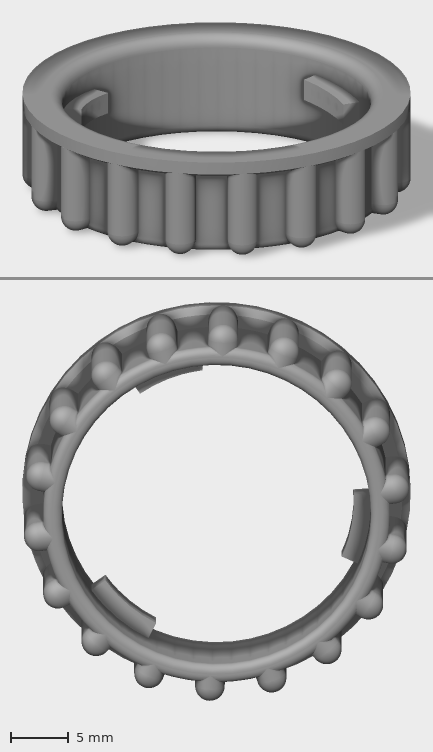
import cadquery as cq
import math

height = 9.0
bore_radius = 13.37
body_radius = 15.0
base_fillet = 0.7
mouth_fillet = 1.0

flange_radius = 16.8
flange_rim_height = 1.1
bevel_height = 0.4
bevel_width = 0.7

rib_count = 18
rib_radius = 1.28
rib_center_radius = flange_radius - rib_radius

tab_count = 3
first_tab_angle = 88.0
tab_span_angle = 28.0
tab_inner_radius = 11.85
tab_height = 1.88
tab_depth = 2.35
tab_rise = 0.5

wall_middle_radius = (bore_radius + body_radius) / 2


def make_ring():
    """Revolve the section of the sleeve and its flange."""
    rim_base = height - flange_rim_height
    flange_base = rim_base - bevel_height
    arc_share = 1 - math.sqrt(0.5)
    base_offset = base_fillet * arc_share
    mouth_offset = mouth_fillet * arc_share
    section = (
        cq.Workplane("XZ")
        .moveTo(bore_radius, base_fillet)
        .threePointArc((bore_radius + base_offset, base_offset), (bore_radius + base_fillet, 0))
        .lineTo(body_radius - base_fillet, 0)
        .threePointArc((body_radius - base_offset, base_offset), (body_radius, base_fillet))
        .lineTo(body_radius, flange_base)
        .lineTo(flange_radius - bevel_width, flange_base)
        .lineTo(flange_radius, rim_base)
        .lineTo(flange_radius, height)
        .lineTo(bore_radius + mouth_fillet, height)
        .threePointArc(
            (bore_radius + mouth_offset, height - mouth_offset),
            (bore_radius, height - mouth_fillet),
        )
        .close()
    )
    return section.revolve(360, (0, 0, 0), (0, 1, 0))


def make_rib():
    """Build one rib on the +X side, ending inside the flange and the wall."""
    rib_top = height - flange_rim_height
    upright_height = rib_top - rib_radius
    root_length = rib_center_radius - wall_middle_radius
    upright = (
        cq.Workplane("XY", origin=(rib_center_radius, 0, rib_radius))
        .circle(rib_radius)
        .extrude(upright_height)
    )
    tip = cq.Workplane("XY", origin=(rib_center_radius, 0, rib_radius)).sphere(rib_radius)
    root = (
        cq.Workplane("XY", origin=(wall_middle_radius, 0, rib_radius))
        .rect(root_length, 2 * rib_radius)
        .extrude(upright_height)
        .translate((root_length / 2, 0, 0))
    )
    root_base = (
        cq.Workplane("YZ", origin=(wall_middle_radius, 0, rib_radius))
        .circle(rib_radius)
        .extrude(root_length)
    )
    return upright.union(tip).union(root).union(root_base)


def make_tab():
    """Sweep one tab along a helix that starts at the +X axis and climbs counterclockwise."""
    helix_pitch = tab_rise * 360 / tab_span_angle
    path = cq.Workplane(cq.Wire.makeHelix(helix_pitch, tab_rise, wall_middle_radius))
    low_top = height - tab_depth - tab_rise
    section = (
        cq.Workplane("XZ")
        .moveTo(tab_inner_radius, 0)
        .lineTo(wall_middle_radius, 0)
        .lineTo(wall_middle_radius, tab_height)
        .lineTo(tab_inner_radius, tab_height)
        .close()
    )
    return section.sweep(path, isFrenet=True).translate((0, 0, low_top - tab_height))


def turned(shape, angle):
    """Turn a shape about the ring axis."""
    return shape.rotate((0, 0, 0), (0, 0, 1), angle)


result = make_ring()

rib = make_rib()
for index in range(rib_count):
    result = result.union(turned(rib, (index + 0.5) * 360 / rib_count))

tab = make_tab()
for index in range(tab_count):
    center_angle = first_tab_angle + index * 360 / tab_count
    result = result.union(turned(tab, center_angle - tab_span_angle / 2))